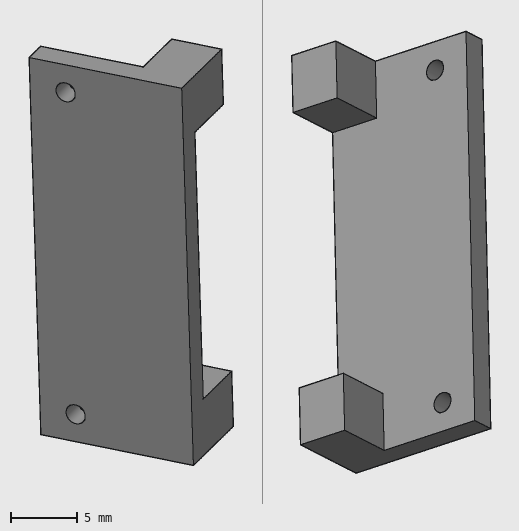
import cadquery as cq

plate_width = 12.8
plate_thickness = 2.0
plate_length = 32.1

leg_width = 4.2
leg_length = 4.7
leg_reach = 6.9

hole_diameter = 1.6
hole_edge_distance = 3.0
hole_end_distance = leg_length / 2

tilt_x = -9.99
tilt_y = -9.14
tilt_z = 9.49


def make_plate():
    """Flat plate with one corner of its front face at the origin."""
    return cq.Workplane("XY").box(plate_width, plate_thickness, plate_length, centered=False)


def make_leg(bottom):
    """Square-edged leg reaching back from the plate, starting at the given height."""
    return (
        cq.Workplane("XY")
        .box(leg_width, leg_reach, leg_length, centered=False)
        .translate((plate_width - leg_width, 0, bottom))
    )


def make_hole(height):
    """Cylinder that pierces the plate from front to back at the given height."""
    start = cq.Vector(hole_edge_distance, 0, height)
    direction = cq.Vector(0, 1, 0)
    return cq.Solid.makeCylinder(hole_diameter / 2, plate_thickness, start, direction)


def tilt(body):
    """Turn the upright part into its final orientation about the origin."""
    origin = (0, 0, 0)
    body = body.rotate(origin, (0, 0, 1), tilt_z)
    body = body.rotate(origin, (0, 1, 0), tilt_y)
    return body.rotate(origin, (1, 0, 0), tilt_x)


part = make_plate()
for leg_bottom in (0, plate_length - leg_length):
    part = part.union(make_leg(leg_bottom))
for hole_height in (hole_end_distance, plate_length - hole_end_distance):
    part = part.cut(cq.Workplane(make_hole(hole_height)))

result = tilt(part)